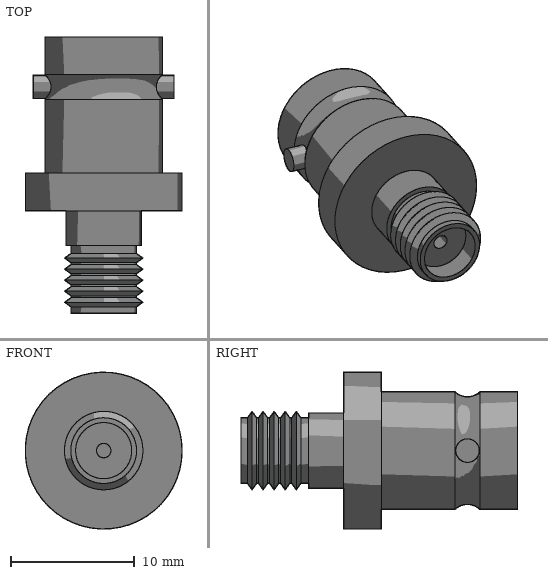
import cadquery as cq

total_length = 22.35

barrel_diameter = 9.52
groove_center = 18.3
groove_width = 2.01
groove_depth = 0.4
lug_diameter = 1.9
lug_span = 11.4

flange_diameter = 12.7
flange_start = 8.3
flange_end = 11.35
collar_diameter = 6.1
collar_start = 5.48

nose_diameter = 5.32
crest_diameter = 6.35
ridge_base_width = 0.74
ridge_pitch = 0.9
first_crest = 0.9
ridge_count = 5

socket_diameter = 4.54
socket_depth = 1.77
contact_hole_diameter = 1.16
contact_hole_depth = 1.79


def cylinder(diameter, start, end):
    """Cylinder on the Y axis between two Y positions."""
    circle = cq.Workplane("XZ", origin=(0, start, 0)).circle(diameter / 2)
    return circle.extrude(start - end)


def revolve_about_y(profile):
    """Full turn of an XY profile about the Y axis."""
    return profile.revolve(360, (0, 0, 0), (0, 1, 0))


def barrel_groove():
    """Ring cut whose floor is a shallow circular arc."""
    radius = barrel_diameter / 2
    half_width = groove_width / 2
    profile = (
        cq.Workplane("XY")
        .moveTo(radius, groove_center - half_width)
        .threePointArc(
            (radius - groove_depth, groove_center),
            (radius, groove_center + half_width),
        )
        .lineTo(flange_diameter / 2, groove_center + half_width)
        .lineTo(flange_diameter / 2, groove_center - half_width)
        .close()
    )
    return revolve_about_y(profile)


def thread_ridge(crest):
    """V-shaped ridge with its crest at the given Y position."""
    half_width = ridge_base_width / 2
    profile = (
        cq.Workplane("XY")
        .moveTo(0, crest - half_width)
        .lineTo(nose_diameter / 2, crest - half_width)
        .lineTo(crest_diameter / 2, crest)
        .lineTo(nose_diameter / 2, crest + half_width)
        .lineTo(0, crest + half_width)
        .close()
    )
    return revolve_about_y(profile)


body = cylinder(barrel_diameter, flange_end, total_length).cut(barrel_groove())
body = body.union(cylinder(flange_diameter, flange_start, flange_end))
body = body.union(cylinder(collar_diameter, collar_start, flange_start))
body = body.union(cylinder(nose_diameter, 0, collar_start))
for index in range(ridge_count):
    body = body.union(thread_ridge(first_crest + index * ridge_pitch))

lugs = (
    cq.Workplane("YZ")
    .center(groove_center, 0)
    .circle(lug_diameter / 2)
    .extrude(lug_span / 2, both=True)
)
body = body.union(lugs)

body = body.cut(cylinder(socket_diameter, 0, socket_depth))
contact_hole = cylinder(contact_hole_diameter, socket_depth, socket_depth + contact_hole_depth)
result = body.cut(contact_hole)